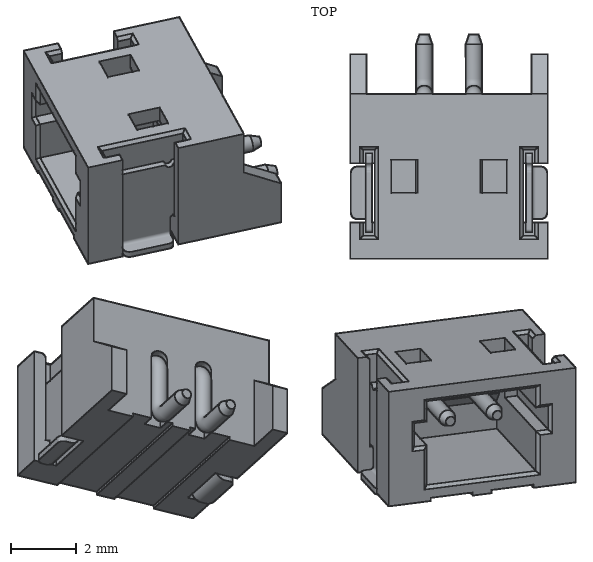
import cadquery as cq
import math


WIDTH = 6.0
DEPTH = 5.0
HEIGHT = 3.75
EDGE_FLARE = 0.1

ARM_THICKNESS = 0.5
ARM_REACH = 6.2
ARM_END_HEIGHT = 1.5
ARM_ROOT_HEIGHT = 2.25

CAVITY_WIDTH = 3.5
CAVITY_FLOOR = 0.5
CAVITY_CEILING = 3.24
CAVITY_DEPTH = 3.5
KEYWAY_WIDTH = 4.3
KEYWAY_BOTTOM = 1.8
KEYWAY_TOP = 2.57
KEYWAY_DEPTH = 3.0
RECESS_TOP = 1.75
RECESS_SHOULDER = 1.44
RECESS_EXTRA_DEPTH = 0.225

WINDOW_FRONT = 2.0
WINDOW_BACK = 3.0
WINDOW_INNER = 0.95

CHANNEL_INNER = 0.3
CHANNEL_OUTER = 1.645
CHANNEL_HEIGHT = 0.1

CLIP_MIDDLE_Y = 2.0
SHEET = 0.2
CLIP_OUTER_FACE = 2.53
PLATE_LENGTH = 2.4
PLATE_BOTTOM = 0.795
PLATE_TOP = 2.795
PLATE_CORNER = 0.1
FOOT_LENGTH = 1.6
FOOT_REACH = 2.98
FOOT_BOTTOM = -0.1
FOOT_CORNER = 0.2
BEND_INNER_RADIUS = 0.1
NECK_FILLET = 0.095
DIP_OFFSET = 0.775
DIP_WIDTH = 0.245
DIP_DEPTH = 0.11
DIP_EDGE_FILLET = 0.05

SLOT_INNER = 2.25
SLOT_OUTER = 2.605
SLOT_LENGTH = 2.6
OPENING_LENGTH = 1.79

PIN_PITCH = 1.5
PIN_RADIUS = 0.25
PIN_HOLE_RADIUS = 0.27
PIN_TIP_RADIUS = 0.15
PIN_TIP_LENGTH = 0.3
PIN_FRONT = 0.78
PIN_BACK = 6.8
PIN_CONTACT_HEIGHT = 2.19
PIN_TAIL_HEIGHT = FOOT_BOTTOM + PIN_RADIUS
PIN_DROP_Y = DEPTH
PIN_BEND_RADIUS = 0.45

SIDES = (-1, 1)
DIAGONAL = math.sqrt(0.5)


def box(x_range, y_range, z_range):
    """Box between the given limits; each range may run either way."""
    sizes = [abs(b - a) for a, b in (x_range, y_range, z_range)]
    middles = [(a + b) / 2 for a, b in (x_range, y_range, z_range)]
    return cq.Workplane("XY").box(*sizes).translate(tuple(middles))


def flared_pocket(center, inward, length, width, depth):
    """Rectangular pocket cutter whose rim is widened by a 45 degree flare."""
    plane = cq.Plane(origin=center, xDir=(1, 0, 0), normal=inward)
    straight = cq.Workplane(plane).rect(length, width).extrude(depth)
    rim = cq.Workplane(plane).rect(length + 2 * EDGE_FLARE, width + 2 * EDGE_FLARE)
    return straight.union(rim.extrude(EDGE_FLARE, taper=45))


def front_pocket(width, bottom, top, depth):
    center = (0, 0, (bottom + top) / 2)
    return flared_pocket(center, (0, 1, 0), width, top - bottom, depth)


def cavity():
    main = front_pocket(CAVITY_WIDTH, CAVITY_FLOOR, CAVITY_CEILING, CAVITY_DEPTH)
    keyways = front_pocket(KEYWAY_WIDTH, KEYWAY_BOTTOM, KEYWAY_TOP, KEYWAY_DEPTH)
    recess_back = CAVITY_DEPTH + RECESS_EXTRA_DEPTH
    recess = (
        cq.Workplane("YZ")
        .polyline([
            (CAVITY_DEPTH, CAVITY_FLOOR),
            (recess_back, CAVITY_FLOOR),
            (recess_back, RECESS_SHOULDER),
            (CAVITY_DEPTH, RECESS_TOP),
        ])
        .close()
        .extrude(CAVITY_WIDTH / 2, both=True)
    )
    return main.union(keyways).union(recess)


def rear_arm(side):
    profile = [
        (DEPTH, 0),
        (ARM_REACH, 0),
        (ARM_REACH, ARM_END_HEIGHT),
        (DEPTH, ARM_ROOT_HEIGHT),
    ]
    arm = cq.Workplane("YZ").polyline(profile).close().extrude(ARM_THICKNESS / 2, both=True)
    return arm.translate((side * (WIDTH - ARM_THICKNESS) / 2, 0, 0))


def roof_window(side):
    x_range = (side * WINDOW_INNER, side * CAVITY_WIDTH / 2)
    return box(x_range, (WINDOW_FRONT, WINDOW_BACK), (CAVITY_CEILING, HEIGHT))


def clip_slot(side):
    """Slot that the clip plate drops into, with the opening through the side wall."""
    center = (side * (SLOT_INNER + SLOT_OUTER) / 2, CLIP_MIDDLE_Y, HEIGHT)
    slot = flared_pocket(
        center, (0, 0, -1), SLOT_OUTER - SLOT_INNER, SLOT_LENGTH, HEIGHT - PLATE_BOTTOM
    )
    opening_y = (CLIP_MIDDLE_Y - OPENING_LENGTH / 2, CLIP_MIDDLE_Y + OPENING_LENGTH / 2)
    opening = box((side * SLOT_INNER, side * WIDTH / 2), opening_y, (0, HEIGHT))
    return slot.union(opening)


def underside_channel(side):
    x_range = (side * CHANNEL_INNER, side * CHANNEL_OUTER)
    return box(x_range, (0, DEPTH), (0, CHANNEL_HEIGHT))


def pin_passage(x):
    """Round hole through the rear wall, with a slot below it for the upright leg."""
    hole = (
        cq.Workplane("XZ", origin=(x, CAVITY_DEPTH, PIN_CONTACT_HEIGHT))
        .circle(PIN_HOLE_RADIUS)
        .extrude(CAVITY_DEPTH - DEPTH)
    )
    slot = box(
        (x - PIN_HOLE_RADIUS, x + PIN_HOLE_RADIUS),
        (PIN_DROP_Y - PIN_BEND_RADIUS, DEPTH),
        (0, PIN_CONTACT_HEIGHT),
    )
    return hole.union(slot)


def make_housing():
    body = box((-WIDTH / 2, WIDTH / 2), (0, DEPTH), (0, HEIGHT)).cut(cavity())
    for side in SIDES:
        body = body.union(rear_arm(side))
        body = body.cut(roof_window(side)).cut(clip_slot(side)).cut(underside_channel(side))
        body = body.cut(pin_passage(side * PIN_PITCH / 2))
    return body


def pin_tip(y, z, direction):
    """Cone frustum that ends a pin; its wide end is at (y, z) and it points along +-Y."""
    return cq.Workplane(cq.Solid.makeCone(
        PIN_RADIUS, PIN_TIP_RADIUS, PIN_TIP_LENGTH,
        pnt=cq.Vector(0, y, z), dir=cq.Vector(0, direction, 0),
    ))


def make_pin(x):
    """Round wire: contact, upright leg behind the wall, and soldering tail."""
    bend = PIN_BEND_RADIUS
    mid_offset = bend * (1 - DIAGONAL)
    front_end = PIN_FRONT + PIN_TIP_LENGTH
    back_end = PIN_BACK - PIN_TIP_LENGTH
    path = (
        cq.Workplane("YZ")
        .moveTo(front_end, PIN_CONTACT_HEIGHT)
        .lineTo(PIN_DROP_Y - bend, PIN_CONTACT_HEIGHT)
        .threePointArc(
            (PIN_DROP_Y - mid_offset, PIN_CONTACT_HEIGHT - mid_offset),
            (PIN_DROP_Y, PIN_CONTACT_HEIGHT - bend),
        )
        .lineTo(PIN_DROP_Y, PIN_TAIL_HEIGHT + bend)
        .threePointArc(
            (PIN_DROP_Y + mid_offset, PIN_TAIL_HEIGHT + mid_offset),
            (PIN_DROP_Y + bend, PIN_TAIL_HEIGHT),
        )
        .lineTo(back_end, PIN_TAIL_HEIGHT)
    )
    start = cq.Plane(origin=(0, front_end, PIN_CONTACT_HEIGHT), xDir=(1, 0, 0), normal=(0, 1, 0))
    wire = cq.Workplane(start).circle(PIN_RADIUS).sweep(path)
    contact_tip = pin_tip(front_end, PIN_CONTACT_HEIGHT, -1)
    tail_tip = pin_tip(back_end, PIN_TAIL_HEIGHT, 1)
    return wire.union(contact_tip).union(tail_tip).translate((x, 0, 0))


def clip_plate_outline():
    """Plate and neck seen along X, down to the start of the foot's bend."""
    half = PLATE_LENGTH / 2
    neck = FOOT_LENGTH / 2
    neck_bottom = FOOT_BOTTOM + SHEET + BEND_INNER_RADIUS
    return (
        cq.Workplane("YZ")
        .moveTo(-neck, neck_bottom)
        .lineTo(-neck, PLATE_BOTTOM)
        .lineTo(-half, PLATE_BOTTOM)
        .lineTo(-half, PLATE_TOP)
        .lineTo(DIP_OFFSET - DIP_WIDTH / 2, PLATE_TOP)
        .threePointArc(
            (DIP_OFFSET, PLATE_TOP - DIP_DEPTH),
            (DIP_OFFSET + DIP_WIDTH / 2, PLATE_TOP),
        )
        .lineTo(half, PLATE_TOP)
        .lineTo(half, PLATE_BOTTOM)
        .lineTo(neck, PLATE_BOTTOM)
        .lineTo(neck, neck_bottom)
        .close()
    )


def edges_across_sheet(half_spacing, z, middle=0):
    """Selector for the two edges along X at height z and Y = middle +- half_spacing."""
    y_low, y_high = middle - half_spacing, middle + half_spacing
    margin = 0.01
    return cq.selectors.BoxSelector(
        (0, y_low - margin, z - margin), (WIDTH, y_low + margin, z + margin)
    ) + cq.selectors.BoxSelector(
        (0, y_high - margin, z - margin), (WIDTH, y_high + margin, z + margin)
    )


def clip_plate():
    plate = clip_plate_outline().extrude(SHEET).translate((CLIP_OUTER_FACE - SHEET, 0, 0))
    top_corners = edges_across_sheet(PLATE_LENGTH / 2, PLATE_TOP)
    dip_edges = edges_across_sheet(DIP_WIDTH / 2, PLATE_TOP, DIP_OFFSET)
    neck_corners = edges_across_sheet(FOOT_LENGTH / 2, PLATE_BOTTOM)
    plate = plate.edges("|X").edges(top_corners).fillet(PLATE_CORNER)
    plate = plate.edges("|X").edges(dip_edges).fillet(DIP_EDGE_FILLET)
    return plate.edges("|X").edges(neck_corners).fillet(NECK_FILLET)


def clip_foot():
    """Quarter bend out of the plate, then the flat foot with rounded outer corners."""
    inner = BEND_INNER_RADIUS
    outer = inner + SHEET
    bend_x = CLIP_OUTER_FACE + inner
    bend_z = FOOT_BOTTOM + outer
    foot = (
        cq.Workplane("XZ")
        .moveTo(bend_x - outer, bend_z)
        .threePointArc(
            (bend_x - outer * DIAGONAL, bend_z - outer * DIAGONAL), (bend_x, FOOT_BOTTOM)
        )
        .lineTo(FOOT_REACH, FOOT_BOTTOM)
        .lineTo(FOOT_REACH, FOOT_BOTTOM + SHEET)
        .lineTo(bend_x, FOOT_BOTTOM + SHEET)
        .threePointArc(
            (bend_x - inner * DIAGONAL, bend_z - inner * DIAGONAL), (bend_x - inner, bend_z)
        )
        .close()
        .extrude(FOOT_LENGTH / 2, both=True)
    )
    return foot.edges("|Z and >X").fillet(FOOT_CORNER)


def make_clip(side):
    clip = clip_plate().union(clip_foot()).translate((0, CLIP_MIDDLE_Y, 0))
    return clip if side > 0 else clip.mirror("YZ")


pins = [make_pin(side * PIN_PITCH / 2) for side in SIDES]
clips = [make_clip(side) for side in SIDES]
housing = make_housing()

result = cq.Compound.makeCompound([
    housing.val(),
    *[pin.val() for pin in pins],
    *[clip.val() for clip in clips],
])